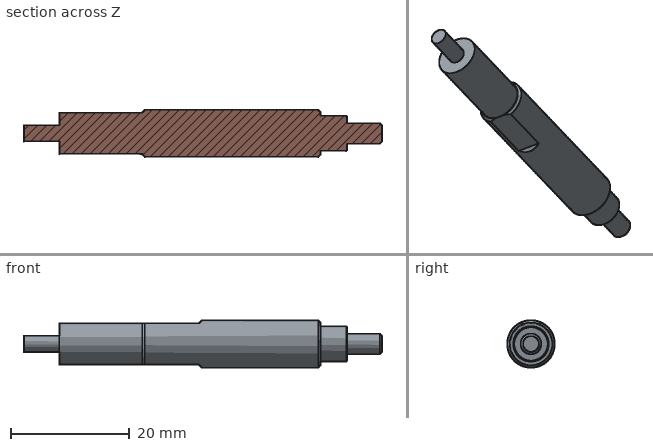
import cadquery as cq

total_length = 60.4
left_pin_diameter = 2.8
journal_diameter = 7.0
body_diameter = 8.0
collar_diameter = 6.0
right_pin_diameter = 3.5

journal_start = 6.0
body_start = 20.0
body_end = 50.0
collar_end = 54.45

body_chamfer = 0.4
collar_chamfer = 0.2
pin_chamfer = 0.4

flat_end = 30.0
flat_spacing = journal_diameter


def cylinder(diameter, start, end):
    return cq.Workplane("YZ", origin=(start, 0, 0)).circle(diameter / 2).extrude(end - start)


def make_shaft():
    left_pin = cylinder(left_pin_diameter, 0, journal_start)
    journal = cylinder(journal_diameter, journal_start, body_start)
    body = cylinder(body_diameter, body_start, body_end).faces("<X or >X").chamfer(body_chamfer)
    collar = cylinder(collar_diameter, body_end, collar_end).faces(">X").chamfer(collar_chamfer)
    right_pin = cylinder(right_pin_diameter, collar_end, total_length).faces(">X").chamfer(pin_chamfer)
    return left_pin.union(journal).union(body).union(collar).union(right_pin)


def make_flat_cutter():
    """Cutter above the upper flat, with a 45 degree wall at its right end."""
    floor = flat_spacing / 2
    top = body_diameter / 2
    floor_end = flat_end - (top - floor)
    return (
        cq.Workplane("XZ")
        .moveTo(body_start, floor)
        .lineTo(floor_end, floor)
        .lineTo(flat_end, top)
        .lineTo(body_start, top)
        .close()
        .extrude(body_diameter / 2, both=True)
    )


upper_cutter = make_flat_cutter()
lower_cutter = upper_cutter.mirror("XY")
result = make_shaft().cut(upper_cutter).cut(lower_cutter)